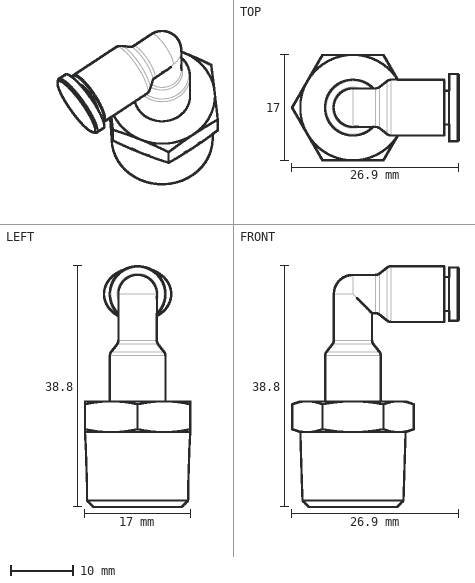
import cadquery as cq
import math

HEIGHT = 38.8
REACH = 17.1

HEX_ACROSS_FLATS = 17.0

THREAD_LENGTH = 12.05
THREAD_TOP_RADIUS = HEX_ACROSS_FLATS / 2
THREAD_TAPER = 1 / 16
THREAD_LEAD_IN = 1.05
THREAD_END_RADIUS = 7.1

HEX_HEIGHT = 4.95
HEX_CHAMFER_ANGLE = 20.0
HEX_FACE_RADIUS = HEX_ACROSS_FLATS / 2
HEX_TOP = THREAD_LENGTH + HEX_HEIGHT
CUT_MARGIN = 0.4

NECK_RADIUS = 3.1
BODY_RADIUS = 4.5
CONE_LENGTH = 1.8
CONE_FILLET = 0.97
ARM_HEIGHT = HEIGHT - BODY_RADIUS

STEM_CONE_START = 24.7

ARM_CONE_START = 4.0
ARM_END = 14.75
ARM_END_CHAMFER = 0.1

SLEEVE_RADIUS = 2.75
SLEEVE_FILLET = 0.1
RING_THICKNESS = 1.63
RING_HALF_WIDTH = 5.45
RING_HALF_HEIGHT = 4.3
RING_CHAMFER = 0.27
RING_START = REACH - RING_THICKNESS


def make_thread():
    """Tapered thread blank with a lead-in chamfer at its lower end."""
    taper_length = THREAD_LENGTH - THREAD_LEAD_IN
    lead_in_radius = THREAD_TOP_RADIUS - taper_length * THREAD_TAPER / 2
    outline = [
        (0, 0),
        (THREAD_END_RADIUS, 0),
        (lead_in_radius, THREAD_LEAD_IN),
        (THREAD_TOP_RADIUS, THREAD_LENGTH),
        (0, THREAD_LENGTH),
    ]
    return cq.Workplane("XZ").polyline(outline).close().revolve(360, (0, 0), (0, 1))


def make_hexagon():
    """Hexagon with corners on the X axis, cut by a cone at both ends."""
    corner_radius = HEX_ACROSS_FLATS / math.sqrt(3)
    chamfer_radius = corner_radius + CUT_MARGIN
    chamfer_height = (chamfer_radius - HEX_FACE_RADIUS) * math.tan(math.radians(HEX_CHAMFER_ANGLE))
    prism = (
        cq.Workplane("XY")
        .workplane(offset=THREAD_LENGTH)
        .polygon(6, 2 * corner_radius)
        .extrude(HEX_HEIGHT)
    )
    chamfer_outline = [
        (0, THREAD_LENGTH),
        (HEX_FACE_RADIUS, THREAD_LENGTH),
        (chamfer_radius, THREAD_LENGTH + chamfer_height),
        (chamfer_radius, HEX_TOP - chamfer_height),
        (HEX_FACE_RADIUS, HEX_TOP),
        (0, HEX_TOP),
    ]
    envelope = cq.Workplane("XZ").polyline(chamfer_outline).close().revolve(360, (0, 0), (0, 1))
    return prism.intersect(envelope)


def make_tube(neck_length, body_length):
    """Solid along +Z from the origin: neck, cone with rounded ends, then body."""
    outline = [
        (0, 0),
        (NECK_RADIUS, 0),
        (NECK_RADIUS, neck_length),
        (BODY_RADIUS, neck_length + CONE_LENGTH),
        (BODY_RADIUS, neck_length + CONE_LENGTH + body_length),
        (0, neck_length + CONE_LENGTH + body_length),
    ]
    tube = cq.Workplane("XZ").polyline(outline).close().revolve(360, (0, 0), (0, 1))
    cone_ends = cq.selectors.BoxSelector(
        (-2 * BODY_RADIUS, -2 * BODY_RADIUS, neck_length - CONE_FILLET),
        (2 * BODY_RADIUS, 2 * BODY_RADIUS, neck_length + CONE_LENGTH + CONE_FILLET),
    )
    return tube.edges("%CIRCLE").edges(cone_ends).fillet(CONE_FILLET)


def make_stem():
    """Vertical leg, with its neck at the elbow and its body on the hexagon."""
    neck_length = ARM_HEIGHT - STEM_CONE_START - CONE_LENGTH
    stem = make_tube(neck_length, STEM_CONE_START - HEX_TOP)
    return stem.rotate((0, 0, 0), (1, 0, 0), 180).translate((0, 0, ARM_HEIGHT))


def make_arm():
    """Horizontal leg, with a small chamfer on its open end."""
    arm = make_tube(ARM_CONE_START, ARM_END - ARM_CONE_START - CONE_LENGTH)
    arm = arm.faces(">Z").chamfer(ARM_END_CHAMFER)
    return arm.rotate((0, 0, 0), (0, 1, 0), 90).translate((0, 0, ARM_HEIGHT))


def make_corner():
    """Ball that rounds the outside of the elbow."""
    return cq.Workplane("XY").sphere(NECK_RADIUS).translate((0, 0, ARM_HEIGHT))


def make_release_ring():
    """Sleeve leaving the arm and the oval ring at its end."""
    arm_axis = cq.Workplane("YZ", origin=(0, 0, ARM_HEIGHT))
    sleeve = arm_axis.workplane(offset=ARM_END).circle(SLEEVE_RADIUS).extrude(RING_START - ARM_END)
    ring = (
        arm_axis.workplane(offset=RING_START)
        .ellipse(RING_HALF_WIDTH, RING_HALF_HEIGHT)
        .extrude(RING_THICKNESS)
        .faces(">X")
        .chamfer(RING_CHAMFER)
    )
    return sleeve.union(ring).edges("%CIRCLE").edges(">X").fillet(SLEEVE_FILLET)


result = (
    make_thread()
    .union(make_hexagon())
    .union(make_stem())
    .union(make_corner())
    .union(make_arm())
    .union(make_release_ring())
)